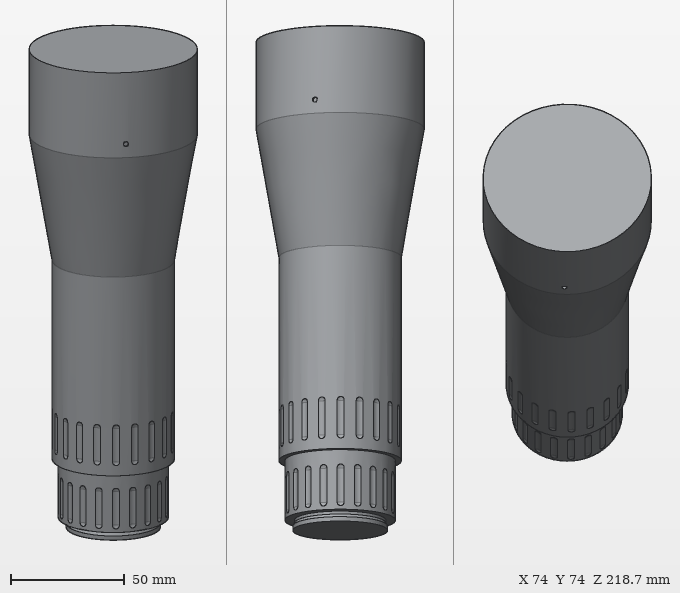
import cadquery as cq

height = 218.7
lip_top = 2.0
lip_chamfer_top = 3.3
small_grip_bottom = 4.5
large_grip_bottom = 31.3
body_top = 122.2
collar_bottom = 179.7

head_radius = 37.0
body_radius = 27.0
small_grip_radius = 24.3
lip_radius = 20.8
neck_radius = 20.1

flute_count = 20
flute_radius = 3.3
flute_depth = 0.5
flute_straight_length = 15.3
large_flute_middle = 45.3
small_flute_middle = 15.5

screw_count = 3
screw_diameter = 2.2
screw_depth = 1.0
screw_height = 185.9
first_screw_angle = 90.0


def make_body():
    """Turned body: lip, neck, two grip rings, barrel, flared cone and head."""
    profile = [
        (0, 0),
        (lip_radius, 0),
        (lip_radius, lip_top),
        (neck_radius, lip_chamfer_top),
        (neck_radius, small_grip_bottom),
        (small_grip_radius, small_grip_bottom),
        (small_grip_radius, large_grip_bottom),
        (body_radius, large_grip_bottom),
        (body_radius, body_top),
        (head_radius, collar_bottom),
        (head_radius, height),
        (0, height),
    ]
    return cq.Workplane("XZ").polyline(profile).close().revolve(360, (0, 0), (0, 1))


def make_flutes(grip_radius, middle_height):
    """Ring of upright round-ended cutters that sink flute_depth into a grip."""
    axis_radius = grip_radius + flute_radius - flute_depth
    cutter = cq.Workplane("XY").cylinder(flute_straight_length, flute_radius)
    for side in (-1, 1):
        end_ball = cq.Workplane("XY").sphere(flute_radius)
        cutter = cutter.union(end_ball.translate((0, 0, side * flute_straight_length / 2)))
    return (
        cq.Workplane("XY", origin=(0, 0, middle_height))
        .polarArray(axis_radius, 0, 360, flute_count)
        .eachpoint(cutter.val(), combine=False)
    )


def make_screw_holes():
    """Radial blind holes spaced evenly around the collar."""
    hole = (
        cq.Workplane("YZ", origin=(head_radius - screw_depth, 0, screw_height))
        .circle(screw_diameter / 2)
        .extrude(2 * screw_depth)
    )
    return (
        cq.Workplane("XY")
        .polarArray(0, first_screw_angle, 360, screw_count)
        .eachpoint(hole.val(), combine=False)
    )


result = (
    make_body()
    .cut(make_flutes(body_radius, large_flute_middle))
    .cut(make_flutes(small_grip_radius, small_flute_middle))
    .cut(make_screw_holes())
)